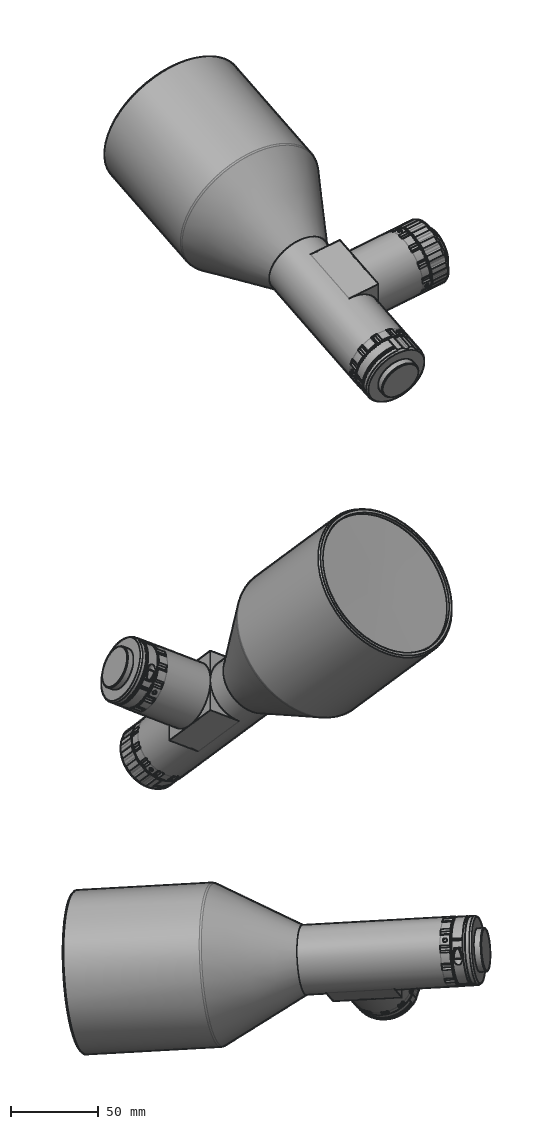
import cadquery as cq
import math

length = 236.8
width = 119.8
head_radius = 94.0 / 2
side_reach = width - head_radius

head_length = 81.0
taper_end = 131.0
head_edge = 1.0
shoulder_length = 1.2
shoulder_drop = 0.35
recess_radius = 44.3
recess_rim_depth = 2.1
recess_center_depth = 3.0

tube_radius = 40.0 / 2
side_port_x = 163.4

fitting_length = 22.5
ring_length = 5.7
neck_length = 1.0
neck_radius = tube_radius - 1.07
sleeve_start = ring_length + neck_length
sleeve_end = 18.2
sleeve_radius = tube_radius - 0.2
sleeve_bevel_length = 1.7
sleeve_face_radius = tube_radius - 1.0
spout_radius = 12.5
spout_edge = 0.5

pad_count = 12
notch_depth = 1.0
notch_top_angle = 12.0
notch_floor_angle = 5.0
screw_count = 3
screw_first_angle = 60.0
screw_radius = 1.2
screw_depth = 1.2

valley_count = 7
valley_pitch = 24.0
valley_top_angle = 14.0
valley_floor_angle = 5.5
valley_floor_radius = tube_radius - 0.5

groove_start = 13.0
groove_width = 1.5
groove_depth = 0.7
slit_width = 1.5
slit_depth = 1.5
clamp_hole_radius = 2.5
clamp_hole_offset = 17.0
clamp_hole_floor = 4.7
clamp_hole_position = 10.0
clamp_screw_radius = 2.01
clamp_screw_length = 5.7

cut_clearance = 2.4

main_fitting_turn = -5.0
side_fitting_turn = 126.0


def polar(radius, angle):
    """Point at a radius and an angle in degrees."""
    turn = math.radians(angle)
    return radius * math.cos(turn), radius * math.sin(turn)


def valley(floor_radius, floor_angle, top_angle, start, end):
    """Cutter centred on angle 0 with sloped flanks from its floor up to the tube radius."""
    rising_side = [
        polar(floor_radius, floor_angle / 2),
        polar(tube_radius, top_angle / 2),
        polar(tube_radius + cut_clearance, top_angle / 2),
    ]
    falling_side = [(x, -y) for x, y in reversed(rising_side)]
    outline = rising_side + falling_side
    return cq.Workplane("XY").workplane(offset=start).polyline(outline).close().extrude(end - start)


def turned(body, angle):
    """Copy of a body turned about the fitting axis."""
    return body.rotate((0, 0, 0), (0, 0, 1), angle)


def smooth_half_cutter(inner_radius, start, end):
    """Half of a thick tube around the side of the sleeve away from the ribs."""
    outer_radius = 2 * tube_radius
    tube = cq.Workplane("XY").workplane(offset=start).circle(outer_radius).circle(inner_radius)
    box = cq.Workplane("XY").box(outer_radius, 2 * outer_radius, 2 * fitting_length)
    return tube.extrude(end - start).intersect(box.translate((-outer_radius / 2, 0, 0)))


def sleeve_blank():
    """Sleeve as wide as the tube, with a bevelled end."""
    outline = [
        (0, sleeve_start),
        (tube_radius, sleeve_start),
        (tube_radius, sleeve_end - sleeve_bevel_length),
        (sleeve_face_radius, sleeve_end),
        (0, sleeve_end),
    ]
    return cq.Workplane("XZ").polyline(outline).close().revolve(360, (0, 0), (0, 1))


def notched_ring():
    ring = cq.Workplane("XY").circle(tube_radius).extrude(ring_length)
    pad_pitch = 360 / pad_count
    notch = valley(tube_radius - notch_depth, notch_floor_angle, notch_top_angle, 0, ring_length)
    for index in range(pad_count):
        ring = ring.cut(turned(notch, (index + 0.5) * pad_pitch))
    screw_hole = (
        cq.Workplane("YZ", origin=(tube_radius - screw_depth, 0, ring_length / 2))
        .circle(screw_radius)
        .extrude(2 * screw_depth)
    )
    for index in range(screw_count):
        ring = ring.cut(turned(screw_hole, screw_first_angle + index * 360 / screw_count))
    return ring


def sleeve():
    body = sleeve_blank()
    body = body.cut(smooth_half_cutter(sleeve_radius, sleeve_start, sleeve_end))
    groove_end = groove_start + groove_width
    body = body.cut(smooth_half_cutter(sleeve_radius - groove_depth, groove_start, groove_end))
    rib_valley = valley(valley_floor_radius, valley_floor_angle, valley_top_angle, sleeve_start, sleeve_end)
    for index in range(valley_count):
        body = body.cut(turned(rib_valley, (index - (valley_count - 1) / 2) * valley_pitch))
    slit_length = groove_start - sleeve_start
    slit = cq.Workplane("XY").box(2 * slit_depth, slit_width, slit_length)
    slit = slit.translate((-sleeve_radius, 0, sleeve_start + slit_length / 2))
    clamp_axis = cq.Workplane("XZ", origin=(-clamp_hole_offset, -clamp_hole_floor, clamp_hole_position))
    clamp_hole = clamp_axis.circle(clamp_hole_radius).extrude(sleeve_radius)
    clamp_screw = clamp_axis.circle(clamp_screw_radius).extrude(clamp_screw_length)
    return body.cut(slit).cut(clamp_hole.cut(clamp_screw))


def end_fitting():
    """Fitting along +Z from the origin, with its ribbed half towards +X."""
    neck = cq.Workplane("XY").circle(neck_radius).extrude(sleeve_start)
    spout = cq.Workplane("XY").workplane(offset=sleeve_start).circle(spout_radius)
    spout = spout.extrude(fitting_length - sleeve_start).faces(">Z").chamfer(spout_edge)
    return neck.union(notched_ring()).union(sleeve()).union(spout)


def placed_fitting(turn, origin, x_direction, axis):
    plane = cq.Plane(origin=origin, xDir=x_direction, normal=axis)
    return cq.Workplane(turned(end_fitting(), turn).val().moved(cq.Location(plane)))


def main_body():
    """Head, taper and main tube turned about the X axis."""
    outline = [
        (recess_center_depth, 0),
        (recess_rim_depth, recess_radius),
        (0, recess_radius),
        (0, head_radius - head_edge),
        (head_edge, head_radius),
        (head_length - shoulder_length, head_radius),
        (head_length, head_radius - shoulder_drop),
        (taper_end, tube_radius),
        (length - fitting_length, tube_radius),
        (length - fitting_length, 0),
    ]
    return cq.Workplane("XY").polyline(outline).close().revolve(360, (0, 0), (1, 0))


def side_port():
    """Square block on the main tube and the side tube leaving it along +Y."""
    block_size = 2 * tube_radius
    block = cq.Workplane("XY").box(block_size, tube_radius, block_size)
    block = block.translate((side_port_x, tube_radius / 2, 0))
    tube = (
        cq.Workplane("XZ", origin=(side_port_x, 0, 0))
        .circle(tube_radius)
        .extrude(-(side_reach - fitting_length))
    )
    return block.union(tube)


main_fitting = placed_fitting(main_fitting_turn, (length - fitting_length, 0, 0), (0, 1, 0), (1, 0, 0))
side_fitting = placed_fitting(
    side_fitting_turn, (side_port_x, side_reach - fitting_length, 0), (-1, 0, 0), (0, 1, 0)
)
body = main_body().union(side_port())
result = body.union(main_fitting, clean=False).union(side_fitting, clean=False)